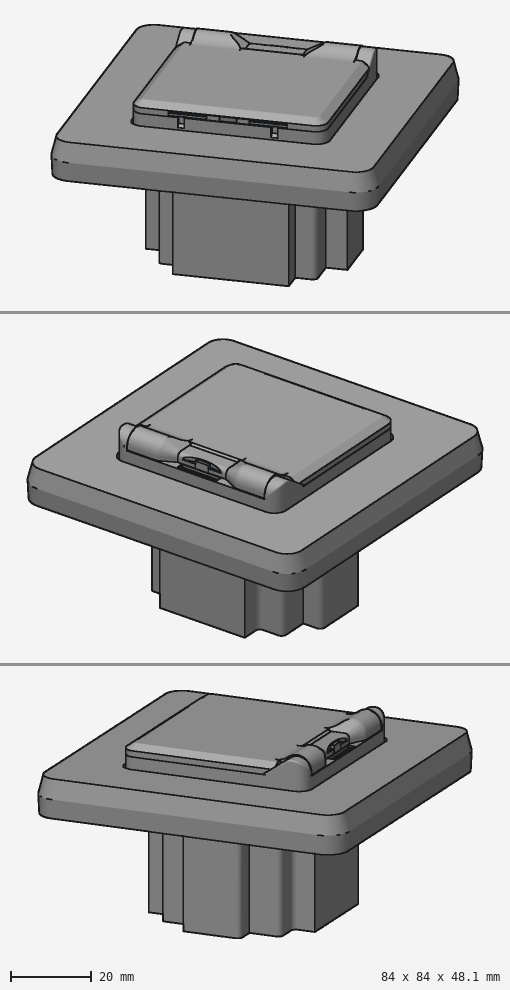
import cadquery as cq
import math

FRAME_TOP = 10.0
FRAME_RIDGE = 5.0
HOUSING_BOTTOM = -30.0
RING_TOP = 13.1
LID_TOP = 16.1
LID_CHAMFER_BOTTOM = 14.7

FRAME_SIDE = 84.0
FRAME_CORNER = 5.8
FRAME_TOP_INSET = 1.3
FRAME_BOTTOM_INSET = 0.25
OPENING_SIDE = 51.0
OPENING_CORNER = 3.5
OPENING_LEDGE = FRAME_RIDGE

RING_SIDE = 50.0
RING_CORNER = 3.2
LID_CHAMFER_WIDTH = 2.2
LID_EDGE_FILLET = 0.6

AXIS_Y = 21.0
HUMP_RADIUS = 3.7
HUMP_TOP = 18.1
AXIS_Z = HUMP_TOP - HUMP_RADIUS
HUMP_OUTER_X = 21.1
HUMP_TAPER_X = 12.0
HUMP_END_ROUNDING = 0.5
HUMP_INNER_X = 7.4
HUMP_FRONT_Y = 15.2
BAR_RADIUS = 1.35
BAR_TOP = AXIS_Z + BAR_RADIUS
BAR_STEP_Y = 16.55
BAR_STEP_RUN = 0.8

CHEEK_TOP = 17.7
CHEEK_EDGE_FILLET = 0.4
CHEEK_BACK_RADIUS = 3.7
CHEEK_SLOPE = 38.0
CHEEK_FRONT_Y = 13.35

SCOOP_RADIUS = 19.3
SCOOP_FRONT_Y = 21.4
SCOOP_FLOOR = AXIS_Z
TAB_WIDTH = 4.0
TAB_FRONT_Y = 21.2
TAB_BACK_Y = 22.4
TAB_TOP = 15.3

POCKET_WIDTH = 11.9
POCKET_FRONT_Y = 22.5
POCKET_BACK_Y = 24.4
POCKET_DEPTH = 0.8
POCKET_CHAMFER = 0.3

WINDOW_OUTER_X = 15.3
WINDOW_INNER_X = 5.55
GRIP_TOP = 14.5
WINDOW_LEDGE = 13.8
WINDOW_DEPTH = 1.0
LEDGE_DEPTH = 0.7
GRIP_DEPTH = 0.3
GRIP_HALF_WIDTH = 2.2
GRIP_LEAN = 0.25

DRAIN_X = 12.0
DRAIN_WIDTH = 1.7
DRAIN_DEPTH = 1.0
DRAIN_BOTTOM = 10.4
DRAIN_RAMP_TOP = 11.2

CORE_X = 20.4
CORE_Y = 16.3
SIDE_BLOCK_X = 25.95
SIDE_BLOCK_Y = 7.7
END_BLOCK_Y = 22.2
FRONT_BLOCK_X = 14.95
BACK_BLOCK_X = 13.0
HOUSING_FILLET = 1.35


def block(x0, x1, y0, y1, z0, z1):
    """Box between two opposite corners."""
    return cq.Workplane("XY").box(x1 - x0, y1 - y0, z1 - z0, centered=False).translate((x0, y0, z0))


def rounded_square(side, corner, height, bottom, taper=0.0):
    """Square prism with rounded vertical edges, standing on the given height."""
    outline = cq.Sketch().rect(side, side).vertices().fillet(corner)
    return cq.Workplane("XY").workplane(offset=bottom).placeSketch(outline).extrude(height, taper=taper)


def across(profile, x0, x1):
    """Prism of a closed YZ profile between two X positions."""
    return profile.extrude(x1 - x0).translate((x0, 0, 0))


def both_sides(solid):
    """The solid together with its mirror image across X = 0."""
    return solid.union(solid.mirror("YZ"))


def make_frame():
    upper_height = FRAME_TOP - FRAME_RIDGE
    upper_taper = math.degrees(math.atan2(FRAME_TOP_INSET, upper_height))
    lower_taper = math.degrees(math.atan2(FRAME_BOTTOM_INSET, FRAME_RIDGE))
    upper = rounded_square(FRAME_SIDE, FRAME_CORNER, upper_height, FRAME_RIDGE, upper_taper)
    lower = rounded_square(FRAME_SIDE, FRAME_CORNER, FRAME_RIDGE, 0, lower_taper)
    lower = lower.mirror("XY").translate((0, 0, FRAME_RIDGE))
    clearance = rounded_square(OPENING_SIDE, OPENING_CORNER, FRAME_TOP - OPENING_LEDGE, OPENING_LEDGE)
    fit = rounded_square(RING_SIDE, RING_CORNER, OPENING_LEDGE, 0)
    return upper.union(lower).cut(clearance).cut(fit)


def make_housing():
    core = block(-CORE_X, CORE_X, -CORE_Y, CORE_Y, HOUSING_BOTTOM, 0)
    core = core.edges("|Z").fillet(HOUSING_FILLET)
    sides = block(-SIDE_BLOCK_X, SIDE_BLOCK_X, -SIDE_BLOCK_Y, SIDE_BLOCK_Y, HOUSING_BOTTOM, 0)
    sides = sides.edges("|Z and >Y").fillet(HOUSING_FILLET)
    front = block(-FRONT_BLOCK_X, FRONT_BLOCK_X, -END_BLOCK_Y, 0, HOUSING_BOTTOM, 0)
    back = block(-BACK_BLOCK_X, BACK_BLOCK_X, 0, END_BLOCK_Y, HOUSING_BOTTOM, 0)
    body = core.union(sides).union(front).union(back)
    reach = HOUSING_FILLET / 2
    for x in (-BACK_BLOCK_X, BACK_BLOCK_X):
        low = (x - reach, CORE_Y - reach, HOUSING_BOTTOM - 0.8)
        high = (x + reach, CORE_Y + reach, 0.8)
        body = body.edges(cq.selectors.BoxSelector(low, high)).edges("|Z").fillet(HOUSING_FILLET)
    return body


def cheek_blank():
    """Raised right end of the hinge: round at the back, sloping down to the front."""
    slope = math.radians(CHEEK_SLOPE)
    back = RING_SIDE / 2
    center_y = back - CHEEK_BACK_RADIUS
    center_z = CHEEK_TOP - CHEEK_BACK_RADIUS
    bend = math.radians(45)

    def on_arc(sideways, upward):
        return center_y + CHEEK_BACK_RADIUS * sideways, center_z + CHEEK_BACK_RADIUS * upward

    profile = (
        cq.Workplane("YZ")
        .moveTo(back, RING_TOP)
        .lineTo(back, center_z)
        .threePointArc(on_arc(math.cos(bend), math.sin(bend)), on_arc(-math.sin(slope), math.cos(slope)))
        .lineTo(CHEEK_FRONT_Y, RING_TOP)
        .close()
    )
    cheek = across(profile, HUMP_OUTER_X, RING_SIDE / 2)
    cheek = cheek.intersect(rounded_square(RING_SIDE, RING_CORNER, CHEEK_TOP, 0))
    return cheek


def make_cheeks():
    """Both cheeks, with the outer edge of the top rounded."""
    cheek = cheek_blank()
    low = (HUMP_OUTER_X + 0.8, RING_SIDE / 2 - 2 * CHEEK_BACK_RADIUS, LID_CHAMFER_BOTTOM)
    high = (RING_SIDE, RING_SIDE, HUMP_TOP)
    top_edge = cheek.edges(cq.selectors.BoxSelector(low, high)).edges("not (|X or |Z)")
    return both_sides(top_edge.fillet(CHEEK_EDGE_FILLET))


def drain_notch(x):
    front = -RING_SIDE / 2
    profile = (
        cq.Workplane("YZ")
        .moveTo(front, DRAIN_BOTTOM)
        .lineTo(front + DRAIN_DEPTH, DRAIN_RAMP_TOP)
        .lineTo(front + DRAIN_DEPTH, RING_TOP)
        .lineTo(front, RING_TOP)
        .close()
    )
    return across(profile, x - DRAIN_WIDTH / 2, x + DRAIN_WIDTH / 2)


def make_ring():
    ring = rounded_square(RING_SIDE, RING_CORNER, RING_TOP, 0).union(make_cheeks())
    half_width = POCKET_WIDTH / 2
    floor = RING_TOP - POCKET_DEPTH
    pocket = block(-half_width, half_width, POCKET_FRONT_Y, POCKET_BACK_Y, floor, RING_TOP)
    ring = ring.cut(pocket.edges("|Y and <Z").chamfer(POCKET_CHAMFER))
    for x in (-DRAIN_X, DRAIN_X):
        ring = ring.cut(drain_notch(x))
    return ring


def lid_plate():
    """Flat panel with a chamfered rim, reaching back to the hinge axis."""
    rim_height = LID_CHAMFER_BOTTOM - RING_TOP
    slope_height = LID_TOP - LID_CHAMFER_BOTTOM
    taper = math.degrees(math.atan2(LID_CHAMFER_WIDTH, slope_height))
    rim = rounded_square(RING_SIDE, RING_CORNER, rim_height, RING_TOP)
    slope = rounded_square(RING_SIDE, RING_CORNER, slope_height, LID_CHAMFER_BOTTOM, taper)
    plate = rim.union(slope).faces(">Z").edges().fillet(LID_EDGE_FILLET)
    half = RING_SIDE / 2
    return plate.intersect(block(-half, half, -half, BAR_STEP_Y, RING_TOP, LID_TOP))


def add_hump_end(outline, base):
    """Continue an outline along the rounded, sloping inner end of the right hump, from bar to top.

    The base is the height of the hinge axis in the plane of the outline.
    """
    slope = math.atan2(HUMP_RADIUS - BAR_RADIUS, HUMP_TAPER_X - HUMP_INNER_X)
    rounding_radius = HUMP_END_ROUNDING / math.tan(slope / 2)
    center_x = HUMP_TAPER_X + HUMP_END_ROUNDING
    center_height = base + HUMP_RADIUS - rounding_radius

    def on_rounding(angle):
        return (
            center_x - rounding_radius * math.sin(angle),
            center_height + rounding_radius * math.cos(angle),
        )

    return (
        outline.lineTo(HUMP_INNER_X, base + BAR_RADIUS)
        .lineTo(*on_rounding(slope))
        .threePointArc(on_rounding(slope / 2), on_rounding(0))
    )


def half_barrel_section():
    """Half section of the right half of the hinge barrel, with the hinge axis along its base."""
    outline = cq.Workplane("XY").lineTo(0, BAR_RADIUS)
    return add_hump_end(outline, 0).lineTo(HUMP_TAPER_X + HUMP_END_ROUNDING, 0).close()


def barrel_back():
    """Round back of the bar and of the cones that widen from it to the humps."""
    quarter_turn = half_barrel_section().revolve(90, (0, 0, 0), (1, 0, 0))
    skirt = half_barrel_section().extrude(RING_TOP - AXIS_Z)
    return both_sides(quarter_turn.union(skirt).translate((0, AXIS_Y, AXIS_Z)))


def hump_profile():
    """YZ profile of a hump: round at the back, blending into the lid top through a hollow arc."""
    run = AXIS_Y - HUMP_FRONT_Y
    rise = LID_TOP - AXIS_Z
    blend = (run**2 + rise**2 - HUMP_RADIUS**2) / (2 * (HUMP_RADIUS - rise))
    blend_z = LID_TOP + blend
    lean = math.atan2(run, blend_z - AXIS_Z)

    def on_hump(angle):
        return AXIS_Y - HUMP_RADIUS * math.sin(angle), AXIS_Z + HUMP_RADIUS * math.cos(angle)

    def on_blend(angle):
        return HUMP_FRONT_Y + blend * math.sin(angle), blend_z - blend * math.cos(angle)

    back = AXIS_Y + HUMP_RADIUS
    return (
        cq.Workplane("YZ")
        .moveTo(back, RING_TOP)
        .lineTo(back, AXIS_Z)
        .threePointArc((AXIS_Y, HUMP_TOP), on_hump(lean))
        .threePointArc(on_blend(lean / 2), (HUMP_FRONT_Y, LID_TOP))
        .lineTo(HUMP_FRONT_Y, RING_TOP)
        .close()
    )


def hump():
    """Right hump, whose inner end slopes in front like the cone behind the axis."""
    end_top_x = HUMP_TAPER_X + HUMP_END_ROUNDING
    outline = cq.Workplane("XZ").moveTo(HUMP_INNER_X, RING_TOP)
    sloping_end = add_hump_end(outline, AXIS_Z).lineTo(end_top_x, RING_TOP).close().extrude(-AXIS_Y)
    straight = block(end_top_x, HUMP_OUTER_X, 0, RING_SIDE, RING_TOP, HUMP_TOP)
    return across(hump_profile(), HUMP_INNER_X, HUMP_OUTER_X).intersect(straight.union(sloping_end))


def bar_front():
    """Flat strip joining the hinge bar to the plate, with a sloping step up to the lid top."""
    profile = (
        cq.Workplane("YZ")
        .moveTo(BAR_STEP_Y, RING_TOP)
        .lineTo(BAR_STEP_Y, LID_TOP)
        .lineTo(BAR_STEP_Y + BAR_STEP_RUN, BAR_TOP)
        .lineTo(AXIS_Y, BAR_TOP)
        .lineTo(AXIS_Y, RING_TOP)
        .close()
    )
    return across(profile, -HUMP_INNER_X, HUMP_INNER_X)


def bar_scoop():
    """Shallow round cut in the back of the hinge bar."""
    scoop = cq.Workplane("XY").workplane(offset=SCOOP_FLOOR).circle(SCOOP_RADIUS).extrude(BAR_RADIUS)
    return scoop.translate((0, SCOOP_FRONT_Y + SCOOP_RADIUS, 0))


def grip_cut():
    """Recess along the lower front edge of the lid: a leaning middle grip between two windows."""
    front = -RING_SIDE / 2
    cut = block(-WINDOW_INNER_X, WINDOW_INNER_X, front, front + GRIP_DEPTH, RING_TOP, GRIP_TOP)
    for x0, x1 in ((-WINDOW_OUTER_X, -WINDOW_INNER_X), (WINDOW_INNER_X, WINDOW_OUTER_X)):
        cut = cut.union(block(x0, x1, front, front + WINDOW_DEPTH, WINDOW_LEDGE, GRIP_TOP))
        cut = cut.union(block(x0, x1, front, front + LEDGE_DEPTH, RING_TOP, WINDOW_LEDGE))
    lean = (
        cq.Workplane("YZ")
        .moveTo(front, RING_TOP)
        .lineTo(front + GRIP_DEPTH + GRIP_LEAN, RING_TOP)
        .lineTo(front + GRIP_DEPTH, GRIP_TOP)
        .lineTo(front, GRIP_TOP)
        .close()
    )
    return cut.union(across(lean, -GRIP_HALF_WIDTH, GRIP_HALF_WIDTH))


def make_lid():
    tab = block(-TAB_WIDTH / 2, TAB_WIDTH / 2, TAB_FRONT_Y, TAB_BACK_Y, RING_TOP, TAB_TOP)
    lid = lid_plate().union(bar_front())
    for part in (both_sides(hump()), barrel_back()):
        lid = lid.union(part, clean=False)
    lid = lid.cut(bar_scoop(), clean=False).union(tab, clean=False)
    return lid.cut(grip_cut(), clean=False).cut(both_sides(cheek_blank()), clean=False)


frame = make_frame()
housing = make_housing()
ring = make_ring()
lid = make_lid()

result = cq.Compound.makeCompound(
    [body.solids().val() for body in (frame, housing, ring, lid)]
)